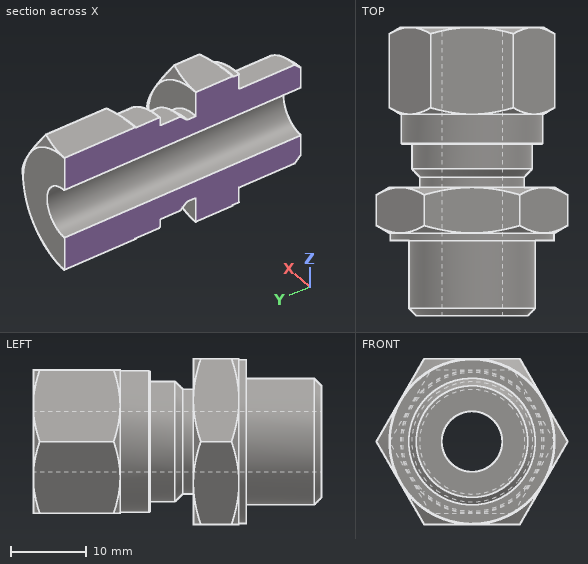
import cadquery as cq
import math

stud_end = 10.0
flange_end = 11.0
body_hex_end = 17.03
neck_end = 18.4
shoulder_start = 19.48
nut_start = 22.75
nut_hex_start = 26.75
total_length = 38.27

bore_diameter = 8.0
stud_diameter = 16.8
flange_diameter = 21.78
neck_diameter = 13.93
shoulder_diameter = 16.0
nut_collar_diameter = 18.83

body_flats = 22.0
nut_flats = 19.02

stud_chamfer = 1.0
collar_chamfer = 0.2
hex_chamfer_angle = 30


def cylinder(diameter, start, end):
    """Solid cylinder on the Y axis between two stations."""
    return cq.Workplane("XZ", origin=(0, start, 0)).circle(diameter / 2).extrude(start - end)


def chamfered_hex(flats, start, end):
    """Hexagon with corners on the X axis and conically chamfered ends."""
    corner_diameter = flats / math.cos(math.radians(30))
    corner_radius = corner_diameter / 2
    face_radius = flats / 2
    drop = (corner_radius - face_radius) * math.tan(math.radians(hex_chamfer_angle))
    prism = cq.Workplane("XZ", origin=(0, start, 0)).polygon(6, corner_diameter).extrude(start - end)
    envelope = (
        cq.Workplane("XY")
        .moveTo(0, start)
        .lineTo(face_radius, start)
        .lineTo(corner_radius, start + drop)
        .lineTo(corner_radius, end - drop)
        .lineTo(face_radius, end)
        .lineTo(0, end)
        .close()
        .revolve(360, (0, 0, 0), (0, 1, 0))
    )
    return prism.intersect(envelope)


stud = cylinder(stud_diameter, 0, stud_end).faces("<Y").chamfer(stud_chamfer)
flange = cylinder(flange_diameter, stud_end, flange_end)
body_hex = chamfered_hex(body_flats, flange_end, body_hex_end)
neck = cylinder(neck_diameter, body_hex_end, neck_end)
shoulder_taper = (shoulder_diameter - neck_diameter) / 2
shoulder = (
    cylinder(shoulder_diameter, neck_end, nut_start)
    .faces("<Y")
    .chamfer(shoulder_start - neck_end, shoulder_taper)
)

nut_collar = cylinder(nut_collar_diameter, nut_start, nut_hex_start).faces("<Y").chamfer(collar_chamfer)
nut_hex = chamfered_hex(nut_flats, nut_hex_start, total_length)

fitting = stud
for section in (flange, body_hex, neck, shoulder, nut_collar, nut_hex):
    fitting = fitting.union(section)
result = fitting.cut(cylinder(bore_diameter, 0, total_length))